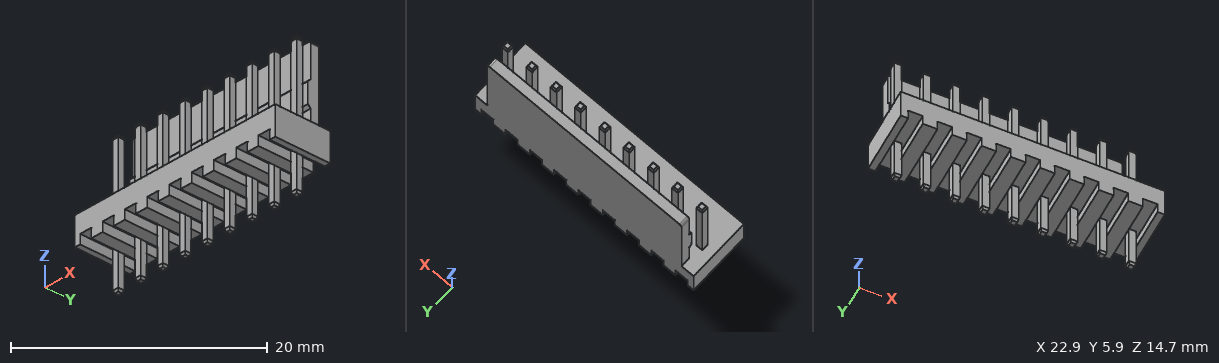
import cadquery as cq


pin_count = 9
row_length = 22.85
pitch = row_length / pin_count
pin_spacing_total = (pin_count - 1) * pitch

base_depth = 5.9
base_height = 2.97
back_y = base_depth / 2
slot_width = pitch / 2
slot_height = 0.95

pin_width = 0.65
pin_tip_width = 0.43
pin_tip_length = 0.27
pin_top_z = 10.97
pin_bottom_z = -3.31
pin_to_back = 2.4
pin_y = back_y - pin_to_back

wall_top_z = 11.38
wall_thickness = 0.91
wall_corner_radius = 0.25
rib_projection = 0.3
rib_bottom_z = 5.2
rib_top_z = 7.86


def make_base():
    """Block with one open slot across its underside below each pin."""
    block = cq.Workplane("XY").box(row_length, base_depth, base_height, centered=(True, True, False))
    slots = (
        cq.Workplane("XY")
        .rarray(pitch, 0.23, pin_count, 1)
        .rect(slot_width, base_depth)
        .extrude(slot_height)
    )
    return block.cut(slots)


def make_wall():
    """Upright wall with a 45-degree sided locking rib along its inner face."""
    inner_y = back_y - wall_thickness
    rib_y = inner_y - rib_projection
    profile = [
        (back_y, base_height),
        (back_y, wall_top_z),
        (inner_y, wall_top_z),
        (inner_y, rib_top_z),
        (rib_y, rib_top_z - rib_projection),
        (rib_y, rib_bottom_z + rib_projection),
        (inner_y, rib_bottom_z),
        (inner_y, base_height),
    ]
    wall = cq.Workplane("YZ").polyline(profile).close().extrude(pin_spacing_total / 2, both=True)
    top_end_edges = wall.faces(">Z").edges("|Y")
    return top_end_edges.fillet(wall_corner_radius)


def make_pin(x):
    """Square pin with a tapered tip at each end."""

    def tip(shoulder_z, end_z):
        return (
            cq.Workplane("XY", origin=(x, pin_y, shoulder_z))
            .rect(pin_width, pin_width)
            .workplane(offset=end_z - shoulder_z)
            .rect(pin_tip_width, pin_tip_width)
            .loft(ruled=True)
        )

    lower_shoulder_z = pin_bottom_z + pin_tip_length
    upper_shoulder_z = pin_top_z - pin_tip_length
    shank = (
        cq.Workplane("XY", origin=(x, pin_y, lower_shoulder_z))
        .rect(pin_width, pin_width)
        .extrude(upper_shoulder_z - lower_shoulder_z)
    )
    return shank.union(tip(upper_shoulder_z, pin_top_z)).union(tip(lower_shoulder_z, pin_bottom_z))


result = make_base().union(make_wall())
for index in range(pin_count):
    result = result.union(make_pin(index * pitch - pin_spacing_total / 2))